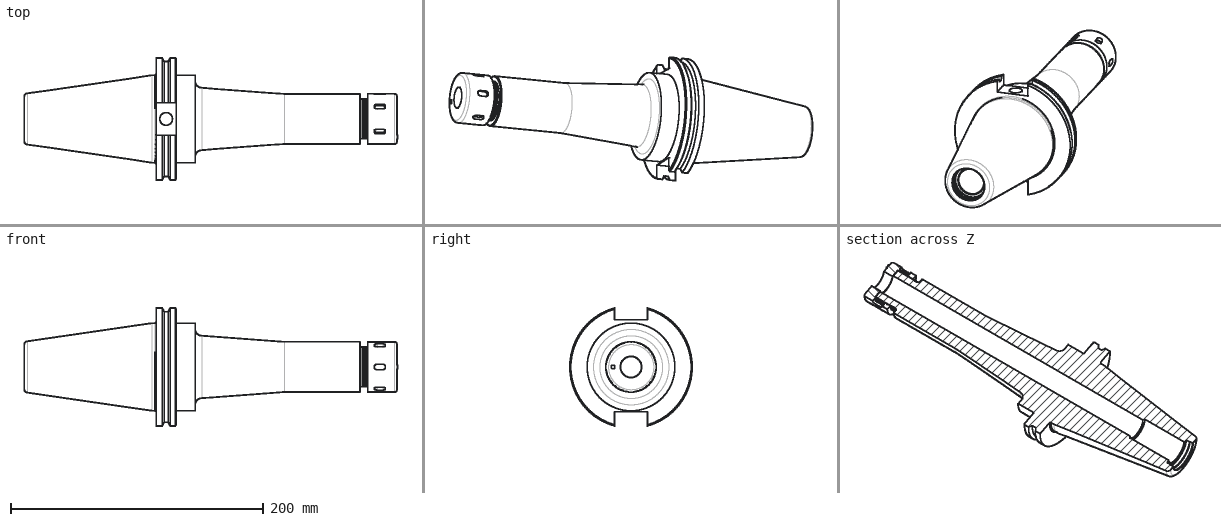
import cadquery as cq
import math


GAUGE_X = 101.0
FLANGE_X = 104.7
FLANGE_WIDTH = 16.0
COLLAR_END_X = 136.0
NECK_START_X = 141.0
NECK_END_X = 206.5
BARREL_END_X = 267.0
NOSE_END_X = 287.7
NUT_X = 272.5
NUT_END_X = 296.0

TAPER_DIA = 69.7
TAPER_RATE = 7 / 24
REAR_ROUNDING = 2.7
FLANGE_FILLET = 1.0
FLANGE_DIA = 97.3
FLANGE_CHAMFER = 1.0
NECK_DIA = 49.8
BARREL_DIA = 40.0
BARREL_CHAMFER = 0.5

GROOVE_X = 112.7
GROOVE_FLOOR_DIA = 91.7
GROOVE_FLOOR_WIDTH = 3.3
GROOVE_FLANK_ANGLE = 30

SLOT_WIDTH = 25.8
UPPER_SLOT_HEIGHT = 37.7
LOWER_SLOT_HEIGHT = 35.5
INDEX_HOLE_DIA = 10.0
INDEX_HOLE_DEPTH = 5.0

ENTRY_RIM_DIA = 27.5
ENTRY_DIA = 26.7
ENTRY_DEPTH = 3.0
COUNTERBORE_DIA = 26.0
COUNTERBORE_DEPTH = 6.2
DRAWBAR_DIA = 21.0
DRAWBAR_RIM_DIA = 22.0
DRAWBAR_END_X = 44.5
THROUGH_DIA = 18.0
BORE_CONE_ANGLE = 60

THREAD_DIA = 31.7
THREAD_ROOT_DIA = 30.3
THREAD_START_X = 268.5
THREAD_PITCH = 1.5
THREAD_GROOVE_WIDTH = 1.2

NUT_DIA = BARREL_DIA
NUT_HOLE_DIA = 16.5
NUT_ROUNDING = 2.0
SPANNER_SLOT_COUNT = 6
SPANNER_SLOT_X = 282.5
SPANNER_SLOT_LENGTH = 9.0
SPANNER_SLOT_WIDTH = 4.5
SPANNER_SLOT_DEPTH = 2.7
DOT_DIA = 3.0
DOT_HEIGHT = 0.5
DOT_RADIUS = 14.2


def revolve_about_x(outline):
    """Turn a closed outline, drawn in the XZ plane as (X, radius), into a solid of revolution."""
    return outline.close().revolve(360, (0, 0, 0), (1, 0, 0))


def cylinder_x(start, end, diameter):
    """Cylinder on the X axis between two stations."""
    return cq.Workplane("YZ", origin=(start, 0, 0)).circle(diameter / 2).extrude(end - start)


def make_blank():
    """Turned outside of the holder, without the flange."""
    taper_r = TAPER_DIA / 2
    rear_r = taper_r - GAUGE_X * TAPER_RATE / 2
    neck_r = NECK_DIA / 2
    fillet = NECK_START_X - COLLAR_END_X
    half_angle = math.atan(TAPER_RATE / 2)

    rounding_x = REAR_ROUNDING * (1 - math.sin(half_angle))
    rounding_r = rear_r + rounding_x * math.tan(half_angle)
    centre_r = rounding_r - REAR_ROUNDING * math.cos(half_angle)
    middle = math.radians(45) + half_angle / 2

    outline = (
        cq.Workplane("XZ")
        .lineTo(0, centre_r)
        .threePointArc(
            (REAR_ROUNDING * (1 - math.sin(middle)), centre_r + REAR_ROUNDING * math.cos(middle)),
            (rounding_x, rounding_r),
        )
        .lineTo(GAUGE_X, taper_r)
        .lineTo(COLLAR_END_X, taper_r)
        .lineTo(COLLAR_END_X, neck_r + fillet)
        .radiusArc((NECK_START_X, neck_r), -fillet)
        .lineTo(NECK_END_X, BARREL_DIA / 2)
        .lineTo(BARREL_END_X - BARREL_CHAMFER, BARREL_DIA / 2)
        .lineTo(BARREL_END_X, BARREL_DIA / 2 - BARREL_CHAMFER)
        .lineTo(BARREL_END_X, THREAD_DIA / 2)
        .lineTo(NOSE_END_X, THREAD_DIA / 2)
        .lineTo(NOSE_END_X, 0)
    )
    return revolve_about_x(outline)


def make_flange():
    """Flange with its root fillet, gripper groove and drive slots."""
    flange_r = FLANGE_DIA / 2
    flange_end = FLANGE_X + FLANGE_WIDTH
    root_r = TAPER_DIA / 2
    floor_r = GROOVE_FLOOR_DIA / 2
    floor_half = GROOVE_FLOOR_WIDTH / 2
    mouth_half = floor_half + (flange_r - floor_r) * math.tan(math.radians(GROOVE_FLANK_ANGLE))

    outline = (
        cq.Workplane("XZ")
        .moveTo(FLANGE_X - FLANGE_FILLET, 0)
        .lineTo(FLANGE_X - FLANGE_FILLET, root_r)
        .radiusArc((FLANGE_X, root_r + FLANGE_FILLET), -FLANGE_FILLET)
        .lineTo(FLANGE_X, flange_r)
        .lineTo(GROOVE_X - mouth_half, flange_r)
        .lineTo(GROOVE_X - floor_half, floor_r)
        .lineTo(GROOVE_X + floor_half, floor_r)
        .lineTo(GROOVE_X + mouth_half, flange_r)
        .lineTo(flange_end - FLANGE_CHAMFER, flange_r)
        .lineTo(flange_end, flange_r - FLANGE_CHAMFER)
        .lineTo(flange_end, 0)
    )
    flange = revolve_about_x(outline)

    for height, direction in ((UPPER_SLOT_HEIGHT, 1), (LOWER_SLOT_HEIGHT, -1)):
        floor = cq.Workplane("XY", origin=(FLANGE_X + FLANGE_WIDTH / 2, 0, direction * height))
        slot = floor.rect(2 * FLANGE_WIDTH, SLOT_WIDTH).extrude(direction * flange_r)
        flange = flange.cut(slot)
    return flange


def make_index_hole():
    """Blind hole in the floor of the upper drive slot."""
    floor = cq.Workplane("XY", origin=(GROOVE_X, 0, UPPER_SLOT_HEIGHT))
    return floor.circle(INDEX_HOLE_DIA / 2).extrude(-INDEX_HOLE_DEPTH)


def make_bore():
    """Stepped counterbore, drawbar hole and through hole, with 45 degree rims."""
    entry_rim_r = ENTRY_RIM_DIA / 2
    entry_r = ENTRY_DIA / 2
    counterbore_r = COUNTERBORE_DIA / 2
    drawbar_r = DRAWBAR_DIA / 2
    drawbar_rim_r = DRAWBAR_RIM_DIA / 2
    through_r = THROUGH_DIA / 2
    cone_length = (drawbar_r - through_r) / math.tan(math.radians(BORE_CONE_ANGLE))

    outline = (
        cq.Workplane("XZ")
        .lineTo(0, entry_rim_r)
        .lineTo(entry_rim_r - entry_r, entry_r)
        .lineTo(ENTRY_DEPTH, entry_r)
        .lineTo(ENTRY_DEPTH + entry_r - counterbore_r, counterbore_r)
        .lineTo(COUNTERBORE_DEPTH, counterbore_r)
        .lineTo(COUNTERBORE_DEPTH, drawbar_rim_r)
        .lineTo(COUNTERBORE_DEPTH + drawbar_rim_r - drawbar_r, drawbar_r)
        .lineTo(DRAWBAR_END_X, drawbar_r)
        .lineTo(DRAWBAR_END_X + cone_length, through_r)
        .lineTo(NOSE_END_X, through_r)
        .lineTo(NOSE_END_X, 0)
    )
    return revolve_about_x(outline)


def make_thread_groove(start):
    """One ring-shaped V groove of the nose thread."""
    outline = (
        cq.Workplane("XZ")
        .moveTo(start, THREAD_DIA / 2)
        .lineTo(start + THREAD_GROOVE_WIDTH / 2, THREAD_ROOT_DIA / 2)
        .lineTo(start + THREAD_GROOVE_WIDTH, THREAD_DIA / 2)
    )
    return revolve_about_x(outline)


def make_holder():
    """Taper shank, flange, barrel and threaded nose."""
    holder = make_blank().union(make_flange()).cut(make_index_hole()).cut(make_bore())
    groove_count = math.ceil((NUT_X - THREAD_START_X) / THREAD_PITCH)
    for i in range(groove_count):
        holder = holder.cut(make_thread_groove(THREAD_START_X + i * THREAD_PITCH))
    return holder


def make_spanner_slot(angle):
    """Round-ended pocket in the side of the nut; angle 0 faces -Y."""
    floor = cq.Workplane("XZ", origin=(SPANNER_SLOT_X, SPANNER_SLOT_DEPTH - NUT_DIA / 2, 0))
    slot = floor.slot2D(SPANNER_SLOT_LENGTH, SPANNER_SLOT_WIDTH).extrude(2 * SPANNER_SLOT_DEPTH)
    return slot.rotate((0, 0, 0), (1, 0, 0), angle)


def make_nut():
    """Clamping nut over the threaded nose."""
    nut = cylinder_x(NUT_X, NUT_END_X, NUT_DIA).faces(">X").edges().fillet(NUT_ROUNDING)
    nut = nut.cut(cylinder_x(NUT_X, NOSE_END_X, THREAD_DIA))
    nut = nut.cut(cylinder_x(NOSE_END_X, NUT_END_X, NUT_HOLE_DIA))
    for i in range(SPANNER_SLOT_COUNT):
        nut = nut.cut(make_spanner_slot(i * 360 / SPANNER_SLOT_COUNT))
    dot = cylinder_x(NUT_END_X, NUT_END_X + DOT_HEIGHT, DOT_DIA).translate((0, -DOT_RADIUS, 0))
    return nut.union(dot)


holder = make_holder()
nut = make_nut()

result = cq.Compound.makeCompound([*holder.solids().vals(), *nut.solids().vals()])